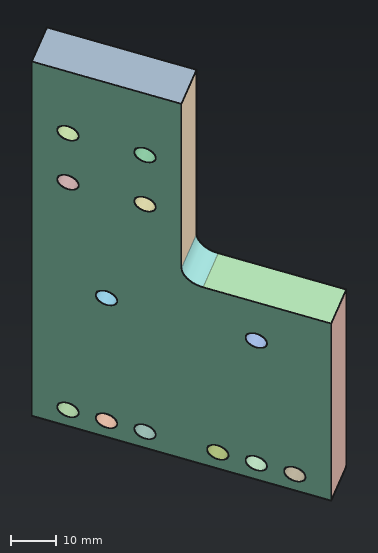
import cadquery as cq

width = 70.0
height = 130.0
thickness = 10.0
upright_width = width / 2
shoulder_height = height / 2
corner_radius = 5.0

hole_diameter = 5.0
hole_pitch = 9.0
left_line_x = width / 4
right_line_x = width - left_line_x
bottom_row_z = 6.0
middle_row_rise = 45.0
middle_row_z = bottom_row_z + middle_row_rise
upper_square_z = 98.45


def make_plate():
    """L-shaped plate with a rounded inner corner, front face at Y = 0."""
    return (
        cq.Workplane("XZ")
        .moveTo(0, 0)
        .lineTo(width, 0)
        .lineTo(width, shoulder_height)
        .lineTo(upright_width + corner_radius, shoulder_height)
        .radiusArc((upright_width, shoulder_height + corner_radius), corner_radius)
        .lineTo(upright_width, height)
        .lineTo(0, height)
        .close()
        .extrude(-thickness)
    )


def lower_hole_centers():
    """One middle hole above three bottom holes, on each vertical line."""
    centers = []
    for line_x in (left_line_x, right_line_x):
        centers.append((line_x, middle_row_z))
        for step in (-1, 0, 1):
            centers.append((line_x + step * hole_pitch, bottom_row_z))
    return centers


def upper_hole_centers():
    """Square of four holes in the upright."""
    centers = []
    for x in (left_line_x - hole_pitch, left_line_x + hole_pitch):
        for z in (upper_square_z - hole_pitch, upper_square_z + hole_pitch):
            centers.append((x, z))
    return centers


def make_holes():
    """Cylinders through the full plate thickness."""
    return (
        cq.Workplane("XZ")
        .pushPoints(lower_hole_centers() + upper_hole_centers())
        .circle(hole_diameter / 2)
        .extrude(-thickness)
    )


result = make_plate().cut(make_holes())